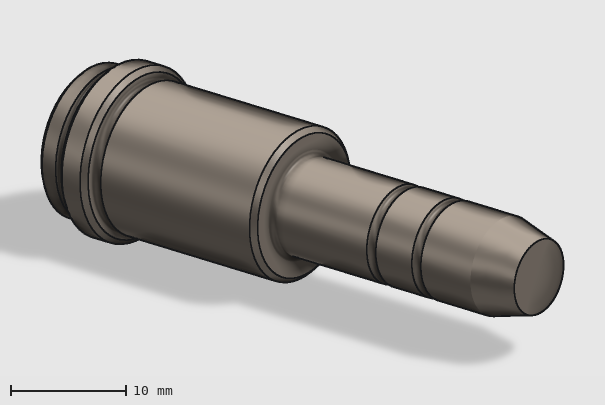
import cadquery as cq
import math

length = 50
body_radius = 7
collar_radius = 8
stem_radius = 4.5

edge_break = 0.5
groove_radius = 0.5
root_radius = 0.5

head_groove_start = 2
collar_start = head_groove_start + 2 * groove_radius
collar_width = 3
collar_end = collar_start + collar_width
body_end = 24

stem_groove_starts = (34.5, 39.5)
taper_length = 4
taper_angle = 15
tip_radius = stem_radius - taper_length * math.tan(math.radians(taper_angle))


def cut_groove(profile, start, surface_radius):
    """Extend the profile to a groove's start and around its semicircle."""
    middle = (start + groove_radius, surface_radius - groove_radius)
    end = (start + 2 * groove_radius, surface_radius)
    return profile.lineTo(start, surface_radius).threePointArc(middle, end)


profile = (
    cq.Workplane("XY")
    .lineTo(0, body_radius - edge_break)
    .lineTo(edge_break, body_radius)
)
profile = cut_groove(profile, head_groove_start, body_radius)

profile = (
    profile.lineTo(collar_start, collar_radius - edge_break)
    .lineTo(collar_start + edge_break, collar_radius)
    .lineTo(collar_end - edge_break, collar_radius)
    .lineTo(collar_end, collar_radius - edge_break)
)

profile = cut_groove(profile, collar_end, body_radius)
profile = (
    profile.lineTo(body_end - edge_break, body_radius)
    .lineTo(body_end, body_radius - edge_break)
)

root_offset = root_radius * (1 - math.sqrt(0.5))
profile = profile.lineTo(body_end, stem_radius + root_radius).threePointArc(
    (body_end + root_offset, stem_radius + root_offset),
    (body_end + root_radius, stem_radius),
)
for groove_start in stem_groove_starts:
    profile = cut_groove(profile, groove_start, stem_radius)

profile = (
    profile.lineTo(length - taper_length, stem_radius)
    .lineTo(length, tip_radius)
    .lineTo(length, 0)
    .close()
)

result = profile.revolve(360, (0, 0, 0), (1, 0, 0))